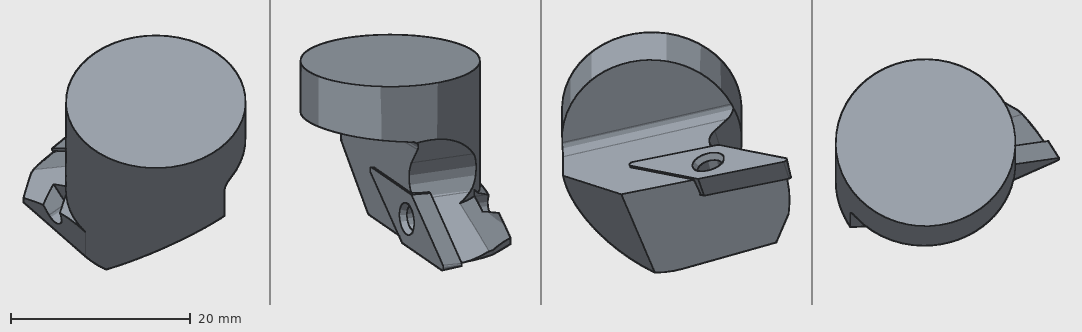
import cadquery as cq
import math


shank_diameter = 20.0
shank_radius = shank_diameter / 2
overall_length = 26.0
overall_height = 20.0
tip_x = shank_radius - overall_length
rake_turn = 5.0
cut_margin = 31.2

insert_edge = 11.08
insert_tip_angle = 35.0
insert_lead_angle = 3.0
insert_thickness = 2.4
insert_clearance = 4.0
nose_radius = 0.4
screw_diameter = 2.8
countersink_diameter = 3.65
countersink_angle = 60.0

head_radius = 15.35
head_top_z = -14.7
head_cone_slope = 1.26
head_corner = (-52.8, -26.3)
head_flat_x = -11.1

heel_x = 3.1
heel_z = -18.6
underside_angle = 3.0
heel_chamfer_top_z = -11.6

groove_radius = 3.0
groove_x = 6.03
groove_z = -11.5
groove_upper_angle = 52.0
flank_angle = 38.3

seat_face_drop = 0.25
chip_roof_z = -6.63
chip_roof_rise = 5.0
chip_fillet = 1.2

slot_x = 9.4
slot_z = -16.38
slot_floor_depth = 8.2
slot_angle = 142.0


def turn_to_rake(shape):
    """Move a shape from the insert frame to the part frame."""
    return shape.rotate((0, 0, 0), (0, 0, 1), rake_turn).translate((tip_x, 0, 0))


def polar(length, angle):
    """Vector of the given length and angle in degrees."""
    a = math.radians(angle)
    return length * math.cos(a), length * math.sin(a)


def add(p, q):
    return p[0] + q[0], p[1] + q[1]


half_angle = insert_tip_angle / 2
bisector_angle = insert_lead_angle + half_angle
nose_center = (nose_radius, nose_radius - overall_height)
nose_setback = nose_radius / math.sin(math.radians(half_angle))
sharp_tip = add(nose_center, polar(-nose_setback, bisector_angle))
half_diagonal = insert_edge * math.cos(math.radians(half_angle))
insert_center = add(sharp_tip, polar(half_diagonal, bisector_angle))


def insert_blank():
    lower = add(sharp_tip, polar(insert_edge, insert_lead_angle))
    upper = add(sharp_tip, polar(insert_edge, insert_lead_angle + insert_tip_angle))
    far_center = add(insert_center, add(insert_center, (-nose_center[0], -nose_center[1])))
    lower_side = polar(nose_radius, insert_lead_angle - 90)
    upper_side = polar(nose_radius, insert_lead_angle + insert_tip_angle + 90)
    far_lower_side = (-upper_side[0], -upper_side[1])
    far_upper_side = (-lower_side[0], -lower_side[1])
    nose_point = polar(nose_radius, bisector_angle)
    return (
        cq.Workplane("XZ")
        .moveTo(*add(nose_center, lower_side))
        .lineTo(*lower)
        .lineTo(*add(far_center, far_lower_side))
        .threePointArc(add(far_center, nose_point), add(far_center, far_upper_side))
        .lineTo(*upper)
        .lineTo(*add(nose_center, upper_side))
        .threePointArc(add(nose_center, polar(-nose_radius, bisector_angle)), add(nose_center, lower_side))
        .close()
        .extrude(insert_thickness, taper=insert_clearance)
    )


def make_insert():
    drilled = (
        insert_blank()
        .faces(">Y")
        .workplane(origin=(insert_center[0], 0, insert_center[1]))
        .cskHole(screw_diameter, countersink_diameter, countersink_angle)
    )
    return turn_to_rake(drilled)


def head():
    """Overhanging head, its top sloped by a cone around the shank axis."""
    start_angle = math.degrees(math.atan2(head_corner[1], head_corner[0]))
    corner = polar(head_radius, start_angle)
    outline = (
        cq.Workplane("XY")
        .moveTo(0, -shank_radius)
        .lineTo(head_flat_x, -shank_radius)
        .lineTo(*corner)
        .threePointArc(polar(head_radius, (start_angle - 180) / 2), (-head_radius, 0))
        .lineTo(-head_radius, shank_radius)
        .lineTo(0, shank_radius)
        .close()
        .extrude(-overall_height)
    )
    drop = overall_height + head_top_z
    cone = cq.Workplane(
        cq.Solid.makeCone(
            shank_radius + drop * head_cone_slope, shank_radius, drop,
            pnt=cq.Vector(0, 0, -overall_height),
        )
    )
    return outline.intersect(cone)


def underside_cut():
    """Space below the sloped underside and the heel chamfer."""
    run = cut_margin
    low_z = heel_z - run * math.tan(math.radians(underside_angle))
    chamfer_slope = (heel_chamfer_top_z - heel_z) / (shank_radius - heel_x)
    return (
        cq.Workplane("XZ")
        .polyline([
            (heel_x - run, low_z),
            (heel_x, heel_z),
            (heel_x + run, heel_z + run * chamfer_slope),
            (heel_x + run, -2 * cut_margin),
            (heel_x - run, -2 * cut_margin),
        ])
        .close()
        .extrude(cut_margin, both=True)
    )


def groove_cut():
    """Relief groove: two flats tangent to an arc, running along the rake normal."""
    center = (groove_x, groove_z)
    upper = add(center, polar(groove_radius, 90 - groove_upper_angle))
    lower = add(center, polar(groove_radius, flank_angle - 90))
    middle = add(center, polar(groove_radius, 0))
    upper_end = add(upper, polar(cut_margin, 180 - groove_upper_angle))
    lower_end = add(lower, polar(cut_margin, 180 + flank_angle))
    prism = (
        cq.Workplane("XZ")
        .moveTo(*upper_end)
        .lineTo(*upper)
        .threePointArc(middle, lower)
        .lineTo(*lower_end)
        .close()
        .extrude(cut_margin, both=True)
    )
    return turn_to_rake(prism)


def chip_space_cut():
    """Space in front of the seat face, under a slightly rising roof."""
    rise = cut_margin * math.tan(math.radians(chip_roof_rise))
    space = (
        cq.Workplane("YZ")
        .polyline([
            (-seat_face_drop, -cut_margin),
            (-seat_face_drop, chip_roof_z),
            (-seat_face_drop + cut_margin, chip_roof_z + rise),
            (-seat_face_drop + cut_margin, -cut_margin),
        ])
        .close()
        .extrude(cut_margin, both=True)
        .edges(cq.selectors.NearestToPointSelector((0, -seat_face_drop, chip_roof_z)))
        .fillet(chip_fillet)
    )
    return turn_to_rake(space)


def slot_cut():
    """Round-ended slot for the screw, open toward the groove."""
    radius = screw_diameter / 2
    center = (slot_x, slot_z)
    side = polar(radius, slot_angle + 90)
    run = polar(cut_margin, slot_angle)
    right = add(center, side)
    left = (center[0] - side[0], center[1] - side[1])
    slot = (
        cq.Workplane("XZ", origin=(0, -slot_floor_depth, 0))
        .moveTo(*add(right, run))
        .lineTo(*right)
        .threePointArc(add(center, polar(-radius, slot_angle)), left)
        .lineTo(*add(left, run))
        .close()
        .extrude(cut_margin)
    )
    return turn_to_rake(slot)


def make_body(insert_seat):
    shank = cq.Workplane("XY").circle(shank_radius).extrude(-overall_height)
    body = shank.union(head())
    for cut in (underside_cut(), groove_cut(), chip_space_cut(), slot_cut()):
        body = body.cut(cut)
    return body.cut(insert_seat)


insert = make_insert()
body = make_body(turn_to_rake(insert_blank()))
result = cq.Compound.makeCompound([*body.solids().vals(), *insert.solids().vals()])